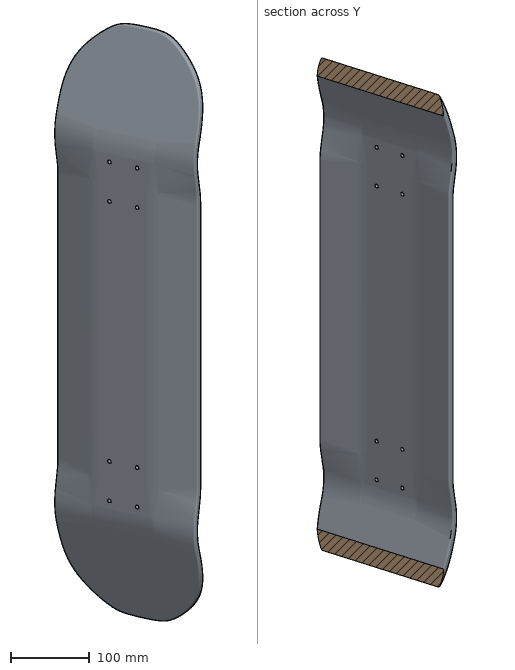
import cadquery as cq
import math

DECK_LENGTH = 807.89
DECK_WIDTH = 209.55
DECK_DEPTH = 54.57
THICKNESS = 8.5

CREASE_X = 43.7
WING_ANGLE = 10.0
WING_END_Z = 203.5
KICK_Z = 257.5
BEND_RADIUS = 95.0

STRAIGHT_END_Z = 280.0
SHOULDER_POINT = (84.5, 362.0)
NOSE_POINT = (48.0, 395.0)

RIM_RADIUS = 2.0

HOLE_DIAMETER = 5.0
HOLE_SPACING_X = 41.3
HOLE_ROWS_Z = (178.0, 232.0)

HALF_LENGTH = DECK_LENGTH / 2
HALF_WIDTH = DECK_WIDTH / 2
BLANK_MARGIN = 20.0
BLANK_TOP_Y = DECK_DEPTH + 40.0
WALL_TOLERANCE = 1e-4
RIM_MAX_TILT = 0.9
WING_SLOPE = math.tan(math.radians(WING_ANGLE))


def kick_angle():
    """Kick angle (radians) that gives the deck its overall depth at the tips."""
    run = HALF_LENGTH - RIM_RADIUS - KICK_Z
    rise = DECK_DEPTH - RIM_RADIUS
    return math.atan2(rise, run) - math.asin((THICKNESS - RIM_RADIUS) / math.hypot(run, rise))


KICK_ANGLE = kick_angle()


def line(start, end):
    return cq.Edge.makeLine(cq.Vector(*start), cq.Vector(*end))


def flat_face(*points):
    return cq.Face.makeFromWires(cq.Wire.makePolygon([cq.Vector(*p) for p in points], close=True))


def blank_above(offset):
    """Quarter of the space above the deck surface that lies `offset` above the underside."""
    crease_x = CREASE_X - offset * math.tan(math.radians(WING_ANGLE) / 2)
    kick_z = KICK_Z - offset * math.tan(KICK_ANGLE / 2)
    side_x = HALF_WIDTH + BLANK_MARGIN
    end_z = HALF_LENGTH + BLANK_MARGIN
    wing_y = offset + (side_x - crease_x) * WING_SLOPE
    kick_y = offset + (end_z - kick_z) * math.tan(KICK_ANGLE)

    centre = (0, offset, 0)
    crease_start = (crease_x, offset, 0)
    crease_end = (crease_x, offset, WING_END_Z)
    wing_start = (side_x, wing_y, 0)
    wing_end = (side_x, wing_y, WING_END_Z)
    fold_centre = (0, offset, kick_z)
    fold_crease = (crease_x, offset, kick_z)
    fold_side = (side_x, offset, kick_z)
    tip_centre = (0, kick_y, end_z)
    tip_side = (side_x, kick_y, end_z)
    roof_plan = [(0, 0), (side_x, 0), (side_x, end_z), (0, end_z)]
    roof = [(x, BLANK_TOP_Y, z) for x, z in roof_plan]

    faces = [
        flat_face(centre, crease_start, crease_end, fold_crease, fold_centre),
        flat_face(crease_start, wing_start, wing_end, crease_end),
        cq.Face.makeRuledSurface(line(crease_end, wing_end), line(fold_crease, fold_side)),
        flat_face(fold_centre, fold_crease, fold_side, tip_side, tip_centre),
        flat_face(centre, fold_centre, tip_centre, roof[3], roof[0]),
        flat_face(wing_start, wing_end, fold_side, tip_side, roof[2], roof[1]),
        flat_face(centre, crease_start, wing_start, roof[1], roof[0]),
        flat_face(tip_centre, tip_side, roof[2], roof[3]),
        flat_face(*roof),
    ]
    blank = cq.Solid.makeSolid(cq.Shell.makeShell(faces)).fix()

    folds = [
        (crease_start, crease_end),
        (crease_end, fold_crease),
        (crease_end, wing_end),
        (fold_centre, fold_crease),
        (fold_crease, fold_side),
    ]

    def edge_between(start, end):
        middle = (cq.Vector(*start) + cq.Vector(*end)) * 0.5
        return min(blank.Edges(), key=lambda edge: (edge.Center() - middle).Length)

    return blank.fillet(BEND_RADIUS - offset, [edge_between(*fold) for fold in folds])


def outline_quarter():
    """Prism through the full depth with one quarter of the deck's outline."""
    return (
        cq.Workplane("XZ")
        .lineTo(HALF_WIDTH, 0)
        .lineTo(HALF_WIDTH, STRAIGHT_END_Z)
        .spline(
            [SHOULDER_POINT, NOSE_POINT, (0, HALF_LENGTH)],
            tangents=[(0, 1), (-1, 0)],
            includeCurrent=True,
        )
        .close()
        .extrude(-BLANK_TOP_Y)
    )


def bolt_holes():
    columns_x = (-HOLE_SPACING_X / 2, HOLE_SPACING_X / 2)
    points = [(x, side * z) for x in columns_x for z in HOLE_ROWS_Z for side in (-1, 1)]
    return (
        cq.Workplane("XZ")
        .pushPoints(points)
        .circle(HOLE_DIAMETER / 2)
        .extrude(-BLANK_TOP_Y)
    )


def round_rim(deck):
    """Round the edges where the side wall, which runs along Y, meets the two deck faces."""
    rim = []
    for face in deck.Faces():
        if abs(face.normalAt().y) < WALL_TOLERANCE:
            rim += [edge for edge in face.Edges() if abs(edge.tangentAt(0.5).y) < RIM_MAX_TILT]
    return deck.fillet(RIM_RADIUS, rim)


underside = cq.Workplane(obj=blank_above(0))
top_side = cq.Workplane(obj=blank_above(THICKNESS))
quarter = outline_quarter().intersect(underside).cut(top_side)
half = quarter.union(quarter.mirror("YZ"))
square_deck = half.union(half.mirror("XY"))
rounded_deck = round_rim(square_deck.val().Solids()[0])
result = cq.Workplane(obj=rounded_deck).cut(bolt_holes())